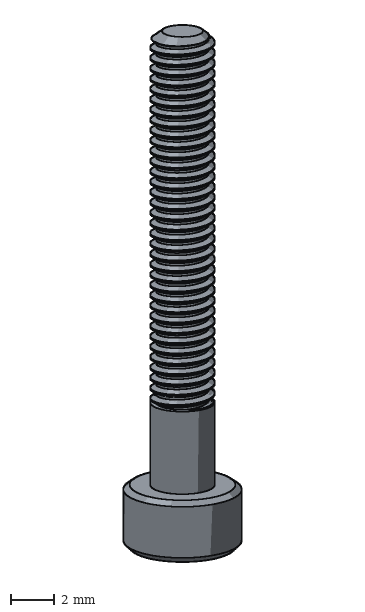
import cadquery as cq
import math

total_length = 25.0
head_diameter = 5.5
head_height = 3.0
shank_diameter = 3.0
thread_length = 18.0

head_chamfer_radial = 0.3
head_bottom_chamfer_height = 0.3
head_top_chamfer_height = 0.22
tip_diameter = 1.9
tip_chamfer_height = 0.42

pitch = 0.5
crest_width = pitch / 8
flank_half_angle = math.radians(30)
groove_depth = 0.28
groove_start_height = 6.62
groove_overlap = 0.02

head_radius = head_diameter / 2
shank_radius = shank_diameter / 2
tip_radius = tip_diameter / 2
thread_start = total_length - thread_length

rod_length = 27.5
envelope_radius = 2.25


def revolve_about_z(outline):
    """Turn a closed (radius, height) outline into a solid around the Z axis."""
    return cq.Workplane("XZ").polyline(outline).close().revolve(360, (0, 0, 0), (0, 1, 0))


def head_and_plain_shank():
    head_face_radius = head_radius - head_chamfer_radial
    return revolve_about_z([
        (0, 0),
        (head_face_radius, 0),
        (head_radius, head_bottom_chamfer_height),
        (head_radius, head_height - head_top_chamfer_height),
        (head_face_radius, head_height),
        (shank_radius, head_height),
        (shank_radius, thread_start),
        (0, thread_start),
    ])


def thread_groove():
    """Helical cutter whose trapezoid section follows the groove between the crests."""
    flank_slope = math.tan(flank_half_angle)
    root_radius = shank_radius - groove_depth
    mouth_radius = shank_radius + groove_overlap
    groove_half_width = (pitch - crest_width) / 2
    root_half_width = groove_half_width - groove_depth * flank_slope
    mouth_half_width = groove_half_width + groove_overlap * flank_slope

    helix_height = total_length + pitch - groove_start_height
    helix = cq.Wire.makeHelix(pitch, helix_height, shank_radius)
    section = [
        (root_radius, -root_half_width),
        (mouth_radius, -mouth_half_width),
        (mouth_radius, mouth_half_width),
        (root_radius, root_half_width),
    ]
    return (
        cq.Workplane("XZ")
        .polyline(section)
        .close()
        .sweep(cq.Workplane(obj=helix), isFrenet=True)
        .translate((0, 0, groove_start_height))
    )


def tip_envelope():
    """Oversize cylinder over the threaded zone, with the cone that chamfers the tip."""
    cone_slope = tip_chamfer_height / (shank_radius - tip_radius)
    cone_height = (envelope_radius - tip_radius) * cone_slope
    return revolve_about_z([
        (0, thread_start),
        (envelope_radius, thread_start),
        (envelope_radius, total_length - cone_height),
        (tip_radius, total_length),
        (0, total_length),
    ])


def threaded_end():
    """Overlong grooved rod trimmed to the threaded zone and its chamfered tip."""
    rod = cq.Workplane("XY").circle(shank_radius).extrude(rod_length)
    return rod.cut(thread_groove()).intersect(tip_envelope())


result = head_and_plain_shank().union(threaded_end())